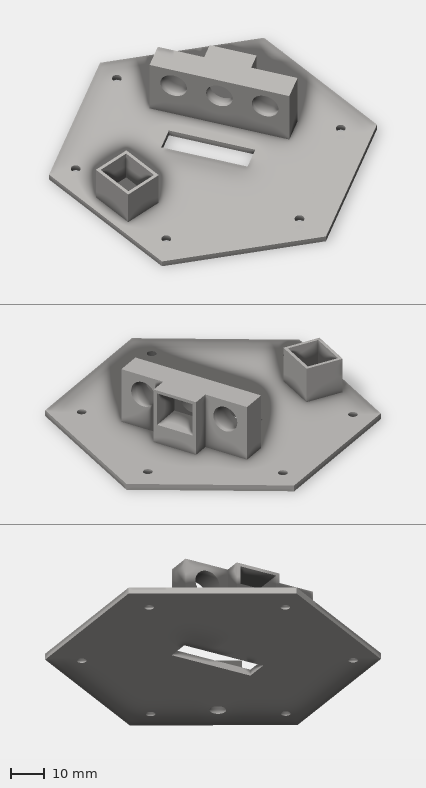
import cadquery as cq

plate_corner_diameter = 99.6
plate_thickness = 2
total_height = 20.0

fitting_x = -1.5

mount_hole_diameter = 2.9
mount_side_spacing = 69.7
mount_side_y = 20.1
mount_end_x = -1.7
mount_end_y = 40.3

window_length = 26.9
window_width = 7.5

socket_wall = 1
socket_depth = 13.45
socket_base = 3.6
pocket_length = 12.3

block_length = 43.5
block_front_y = 11
block_thickness = 8.1
boss_width = 14.6
sight_hole_diameter = 8.3
sight_hole_spacing = 14.2
sight_hole_z = 13.6
block_pocket_height = 2 * (total_height - socket_wall - sight_hole_z)

box_x = -17.7
box_y = -28.1
box_angle = -30
box_length = pocket_length + 2 * socket_wall
box_width = 12.3
box_hole_diameter = 5


def box_between(x_center, length, y_start, y_end, z_start, z_end):
    """Axis-aligned box centred in X and spanning the given Y and Z ranges."""
    size = (length, y_end - y_start, z_end - z_start)
    corner = (x_center - length / 2, y_start, z_start)
    return cq.Workplane("XY").box(*size, centered=False).translate(corner)


def make_plate():
    half_spacing = mount_side_spacing / 2
    mount_points = [(mount_end_x, side * mount_end_y) for side in (-1, 1)]
    for x_side in (-1, 1):
        for y_side in (-1, 1):
            mount_points.append((fitting_x + x_side * half_spacing, y_side * mount_side_y))

    plate = (
        cq.Workplane("XY")
        .polygon(6, plate_corner_diameter)
        .extrude(plate_thickness)
        .rotate((0, 0, 0), (0, 0, 1), 30)
    )
    mount_holes = (
        cq.Workplane("XY").pushPoints(mount_points).circle(mount_hole_diameter / 2).extrude(plate_thickness)
    )
    window = cq.Workplane("XY").center(fitting_x, 0).rect(window_length, window_width).extrude(plate_thickness)
    return plate.cut(mount_holes).cut(window)


def make_block():
    block_back_y = block_front_y + block_thickness
    boss_back_y = block_front_y + socket_depth
    slab = box_between(fitting_x, block_length, block_front_y, block_back_y, 0, total_height)
    boss = box_between(fitting_x, boss_width, block_front_y, boss_back_y, 0, total_height)

    pocket = box_between(
        fitting_x,
        pocket_length,
        block_front_y + socket_base,
        boss_back_y,
        sight_hole_z - block_pocket_height / 2,
        sight_hole_z + block_pocket_height / 2,
    )
    hole_points = [(fitting_x + step * sight_hole_spacing, sight_hole_z) for step in (-1, 0, 1)]
    sight_holes = (
        cq.Workplane("XZ", origin=(0, block_front_y, 0))
        .pushPoints(hole_points)
        .circle(sight_hole_diameter / 2)
        .extrude(-block_thickness)
    )
    return slab.union(boss).cut(pocket).cut(sight_holes)


def place_box_socket(shape):
    """Turn a shape built at the origin and move it to the tilted socket."""
    return shape.rotate((0, 0, 0), (0, 0, 1), box_angle).translate((box_x, box_y, 0))


def make_box_socket():
    body = cq.Workplane("XY").rect(box_length, box_width).extrude(socket_depth)
    pocket = (
        cq.Workplane("XY", origin=(0, 0, socket_base))
        .rect(pocket_length, box_width - 2 * socket_wall)
        .extrude(socket_depth - socket_base)
    )
    return place_box_socket(body.cut(pocket))


def make_box_hole():
    return place_box_socket(cq.Workplane("XY").circle(box_hole_diameter / 2).extrude(socket_depth))


result = make_plate().union(make_block()).union(make_box_socket()).cut(make_box_hole())